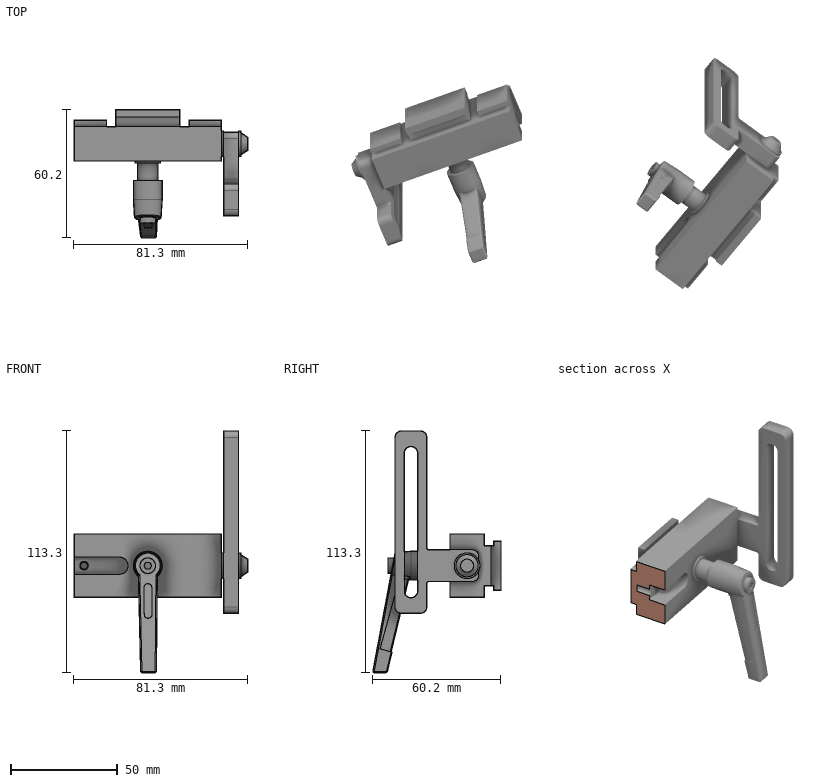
import cadquery as cq
import math


block_length = 69.0
block_depth = 16.1
block_height = 29.7
block_middle = block_length / 2
guide_length = 15.2
guide_height = 18.8
guide_reach = 3.1
slot_width = 8.0
slot_length = 25.3
slot_depth = 8.7
small_hole_diameter = 3.3
small_hole_mouth = 4.0
small_hole_inset = 4.6
small_hole_depth = 6.8

nut_length = 30.0
nut_flange_height = 23.1
nut_flange_thickness = 3.5
nut_depth = 7.9

thread_diameter = 6.0
washer_diameter = 12.0
washer_thickness = 1.0

plate_thickness = 7.0
tab_height = 15.0
tab_back = 13.5
bar_width = 15.0
bar_back = -10.8
bar_top = 63.1
bar_bottom = -22.3
bar_slot_width = 6.2
bar_slot_margin = 7.4
corner_radius = 3.1
inner_corner_radius = 0.8

bolt_axis_y = block_depth / 2
bolt_head_diameter = 10.4
bolt_tip_diameter = 6.1
bolt_head_height = 3.3
bolt_thread_depth = 9.1

bush_diameter = 9.7
bush_length = 8.0
hub_diameter = 13.6
hub_straight = 9.1
hub_taper = 3.6
hub_rim_chamfer = 0.5
face_y = -26.9
face_slope = 10.6
back_y = -17.3
back_slope = 13.5
arm_top_width = 9.1
arm_end_width = 7.5
arm_end_z = -50.2
arm_face_edge = 0.7
arm_back_edge = 0.5
arm_turn = 0.4
relief_y = -22.0
relief_slope = 15.4
relief_top_z = -6.3
relief_bottom_z = -39.0
relief_side_depth = 0.17
relief_back_depth = 0.5
screw_diameter = 7.3
screw_end_y = -29.0
hex_flats = 3.2
hex_depth = 1.7
groove_width = 3.6
groove_top_z = -8.4
groove_bottom_z = -24.6
groove_depth = 0.2

washer_front_y = -washer_thickness
bush_front_y = washer_front_y - bush_length
hub_taper_y = bush_front_y - hub_straight
plate_x = block_length + washer_thickness
plate_far_x = plate_x + plate_thickness
head_x = plate_far_x + washer_thickness
nut_back_y = block_depth + nut_depth
flange_y = nut_back_y - nut_flange_thickness


def box(x0, x1, y0, y1, height):
    """Box between two x and two y values, centred on z = 0."""
    centre = ((x0 + x1) / 2, (y0 + y1) / 2, 0)
    return cq.Workplane("XY").box(x1 - x0, y1 - y0, height).translate(centre)


def rod_x(diameter, x0, x1):
    """Cylinder along X on the bolt axis."""
    return cq.Workplane("YZ", origin=(x0, bolt_axis_y, 0)).circle(diameter / 2).extrude(x1 - x0)


def rod_y(diameter, y0, y1, x=block_middle):
    """Cylinder along Y from y0 up to y1."""
    return cq.Workplane("XZ", origin=(x, y1, 0)).circle(diameter / 2).extrude(y1 - y0)


def make_block():
    block = box(0, block_length, 0, block_depth, block_height)
    for start in (0, block_length - guide_length):
        guide = box(start, start + guide_length, block_depth, block_depth + guide_reach, guide_height)
        block = block.union(guide)
    round_x = slot_length - slot_width / 2
    block = block.cut(box(0, round_x, 0, slot_depth, slot_width))
    block = block.cut(rod_y(slot_width, 0, slot_depth, round_x))
    block = block.cut(rod_y(small_hole_diameter, slot_depth, slot_depth + small_hole_depth, small_hole_inset))
    mouth_depth = (small_hole_mouth - small_hole_diameter) / 2
    mouth = (
        cq.Workplane("XZ", origin=(small_hole_inset, slot_depth, 0))
        .circle(small_hole_mouth / 2)
        .extrude(-mouth_depth, taper=45)
    )
    block = block.cut(mouth)
    block = block.cut(rod_y(thread_diameter, 0, block_depth))
    return block.cut(rod_x(thread_diameter, block_length - bolt_thread_depth, block_length))


def make_t_nut():
    left = block_middle - nut_length / 2
    right = block_middle + nut_length / 2
    neck = box(left, right, block_depth, flange_y, guide_height)
    flange = box(left, right, flange_y, nut_back_y, nut_flange_height)
    return neck.union(flange).cut(rod_y(thread_diameter, block_depth, nut_back_y))


def make_bracket():
    tab = (
        box(plate_x, plate_far_x, bar_back, tab_back, tab_height)
        .edges("|X and >Y").fillet(corner_radius)
    )
    bar_front = bar_back - bar_width
    bar_middle = (bar_back + bar_front) / 2
    bar_middle_z = (bar_top + bar_bottom) / 2
    bar_length = bar_top - bar_bottom
    bar = (
        cq.Workplane("YZ", origin=(plate_x, bar_middle, bar_middle_z))
        .rect(bar_width, bar_length)
        .extrude(plate_thickness)
        .edges("|X").fillet(corner_radius)
    )
    slot = (
        cq.Workplane("YZ", origin=(plate_x, bar_middle, bar_middle_z))
        .slot2D(bar_length - 2 * bar_slot_margin, bar_slot_width, 90)
        .extrude(plate_thickness)
    )
    inner_corners = cq.selectors.BoxSelector(
        (plate_x, bar_back - inner_corner_radius, -tab_height),
        (plate_far_x, bar_back + inner_corner_radius, tab_height),
    )
    bracket = bar.union(tab).edges(inner_corners).edges("|X").fillet(inner_corner_radius)
    return bracket.cut(slot).cut(rod_x(thread_diameter, plate_x, plate_far_x))


def make_lever_washer():
    washer = rod_y(washer_diameter, washer_front_y, 0)
    return washer.cut(rod_y(thread_diameter, washer_front_y, 0))


def make_bolt_washer(x):
    washer = rod_x(washer_diameter, x, x + washer_thickness)
    return washer.cut(rod_x(thread_diameter, x, x + washer_thickness))


def make_bolt():
    head = (
        cq.Workplane("YZ", origin=(head_x, bolt_axis_y, 0))
        .circle(bolt_head_diameter / 2)
        .workplane(offset=bolt_head_height)
        .circle(bolt_tip_diameter / 2)
        .loft(ruled=True)
    )
    return head.union(rod_x(thread_diameter, block_length - bolt_thread_depth, head_x))


def face_at(z):
    """y of the sloping outer face of the lever at height z."""
    return face_y + z * math.tan(math.radians(face_slope))


def back_at(z):
    """y of the sloping inner face of the lever arm at height z."""
    return back_y + z * math.tan(math.radians(back_slope))


def make_hub():
    """Round hub whose tapered nose is cut off along the sloping face."""
    reach = hub_diameter
    nose_y = face_at(-reach)
    beyond_y = 2 * nose_y
    nose = (
        cq.Workplane("XZ", origin=(block_middle, hub_taper_y, 0))
        .circle(hub_diameter / 2)
        .extrude(hub_taper_y - nose_y, taper=hub_taper)
    )
    beyond_face = (
        cq.Workplane("YZ", origin=(block_middle - reach, 0, 0))
        .polyline([(face_at(reach), reach), (nose_y, -reach), (beyond_y, -reach), (beyond_y, reach)])
        .close()
        .extrude(2 * reach)
    )
    nose = nose.cut(beyond_face).faces("<Y").edges().chamfer(hub_rim_chamfer)
    return nose.union(rod_y(hub_diameter, hub_taper_y, bush_front_y))


def arm_profile(outline):
    """Prism across the arm, wider than it, from a closed outline of (y, z) points."""
    return (
        cq.Workplane("YZ", origin=(block_middle - arm_top_width, 0, 0))
        .polyline(outline)
        .close()
        .extrude(2 * arm_top_width)
    )


def arm_body(inset, back_inset):
    """Arm tapering in depth and width with softened long edges, thinned by insets at sides and back."""
    side = arm_profile([
        (face_at(0), 0),
        (face_at(arm_end_z), arm_end_z),
        (back_at(arm_end_z) - back_inset, arm_end_z),
        (back_at(0) - back_inset, 0),
    ])
    half_top = arm_top_width / 2 - inset
    half_end = arm_end_width / 2 - inset
    front = (
        cq.Workplane("XZ", origin=(block_middle, 0, 0))
        .polyline([(-half_top, 0), (half_top, 0), (half_end, arm_end_z), (-half_end, arm_end_z)])
        .close()
        .extrude(-2 * arm_end_z)
    )
    arm = side.intersect(front)
    for towards, size in (("<Y", arm_face_edge), (">Y", arm_back_edge)):
        arm = arm.faces("not |Z").faces(towards).edges("not |X").chamfer(size)
    return arm


def make_arm():
    """Arm with a softened end and a shallow relief around its inner part."""
    arm = arm_body(0, 0).faces("<Z").edges().chamfer(arm_face_edge)
    slope = math.tan(math.radians(relief_slope))
    relief_end_y = relief_y + relief_bottom_z * slope
    reach = hub_diameter
    relief_zone = arm_profile([
        (relief_y + relief_top_z * slope, relief_top_z),
        (relief_end_y, relief_bottom_z),
        (relief_end_y + reach, relief_bottom_z - reach * slope),
        (relief_end_y + 2 * reach, relief_top_z),
    ])
    relief = relief_zone.cut(arm_body(relief_side_depth, relief_back_depth))
    return arm.cut(relief)


def make_groove():
    """Shallow round-ended groove in the arm's sloping face."""
    length = (groove_top_z - groove_bottom_z) / math.cos(math.radians(face_slope))
    middle_z = (groove_top_z + groove_bottom_z) / 2
    face = cq.Plane(
        origin=(block_middle, face_at(middle_z), middle_z),
        xDir=(1, 0, 0),
        normal=(0, -math.cos(math.radians(face_slope)), math.sin(math.radians(face_slope))),
    )
    return cq.Workplane(face).slot2D(length, groove_width, 90).extrude(-groove_depth)


def make_lever():
    """One-piece lever: hub, arm, end screw, bush and the stud that reaches through into the T-nut."""
    hub = make_hub()
    lever = hub.union(make_arm()).cut(make_groove())
    lever = lever.union(rod_y(screw_diameter, screw_end_y, bush_front_y))
    socket = (
        cq.Workplane("XZ", origin=(block_middle, screw_end_y, 0))
        .polygon(6, hex_flats / math.cos(math.pi / 6))
        .extrude(-hex_depth)
    )
    lever = lever.cut(socket)
    lever = lever.union(rod_y(bush_diameter, bush_front_y, washer_front_y))
    lever = lever.union(rod_y(thread_diameter, washer_front_y, nut_back_y))
    return lever.rotate((block_middle, 0, 0), (block_middle, 1, 0), -arm_turn)


block = make_block()
t_nut = make_t_nut()
bracket = make_bracket()
lever_washer = make_lever_washer()
bolt_washers = [make_bolt_washer(x) for x in (block_length, plate_far_x)]
bolt = make_bolt()
lever = make_lever()

result = cq.Compound.makeCompound([
    block.val(),
    t_nut.val(),
    bracket.val(),
    lever_washer.val(),
    *[washer.val() for washer in bolt_washers],
    bolt.val(),
    lever.val(),
])